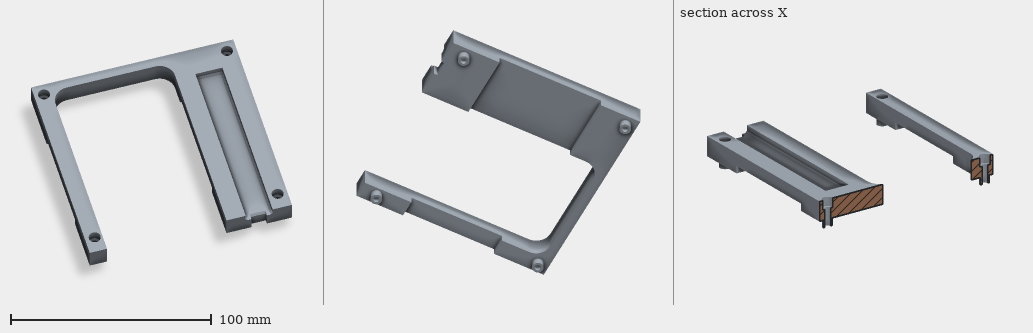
import cadquery as cq

SIDE = 105.0
PLATE_HEIGHT = 11.0
PEG_HEIGHT = 4.0

SPINE_WIDTH = 5.0
FRONT_ARM_WIDTH = 9.0
REAR_ARM_WIDTH = 34.0
OPENING_CORNER_RADIUS = 8.0

FRONT_RELIEF_START = 28.0
REAR_RELIEF_START = 22.0
RELIEF_END = 79.0
RELIEF_HEIGHT = 4.0

PEG_X_POSITIONS = (5.9, 96.55)
PEG_Y_INSET = 5.0
PEG_DIAMETER = 5.8
SOCKET_DIAMETER = 6.0
SOCKET_DEPTH = 5.0
BORE_DIAMETER = 3.2

POCKET_START = 15.0
POCKET_REAR_INSET = 10.0
POCKET_WIDTH = 14.0
POCKET_DEPTH = 4.0
POCKET_FLOOR_CHAMFER = 1.0

NOTCH_LENGTH = 3.0
NOTCH_WIDTH = 8.0
NOTCH_REAR_INSET = 13.0
NOTCH_EDGE_CHAMFER = 1.0


def block(x_start, x_end, y_start, y_end, z_start, z_end):
    """Axis-aligned box given by its limits."""
    size = (x_end - x_start, y_end - y_start, z_end - z_start)
    return cq.Workplane("XY").box(*size, centered=False).translate((x_start, y_start, z_start))


def make_frame():
    """U-shaped plate with rounded inner corners and a relief under each arm."""
    plate = block(0, SIDE, 0, SIDE, 0, PLATE_HEIGHT)
    opening = block(
        SPINE_WIDTH, SIDE, FRONT_ARM_WIDTH, SIDE - REAR_ARM_WIDTH, 0, PLATE_HEIGHT
    )
    opening = opening.edges("|Z and <X").fillet(OPENING_CORNER_RADIUS)
    front_relief = block(FRONT_RELIEF_START, RELIEF_END, 0, FRONT_ARM_WIDTH, 0, RELIEF_HEIGHT)
    rear_relief = block(
        REAR_RELIEF_START, RELIEF_END, SIDE - REAR_ARM_WIDTH, SIDE, 0, RELIEF_HEIGHT
    )
    return plate.cut(opening).cut(front_relief).cut(rear_relief)


def make_pocket():
    """Cutter for the pocket, with chamfered floor edges along its three walls."""
    rear = SIDE - POCKET_REAR_INSET
    floor = PLATE_HEIGHT - POCKET_DEPTH
    pocket = block(POCKET_START, SIDE, rear - POCKET_WIDTH, rear, floor, PLATE_HEIGHT)
    return pocket.faces("<Z").edges("not >X").chamfer(POCKET_FLOOR_CHAMFER)


def make_notch():
    """Cutter for the notch, flared at the top so that its inner edge is chamfered."""
    rear = SIDE - NOTCH_REAR_INSET
    floor = PLATE_HEIGHT - POCKET_DEPTH
    wall = SIDE - NOTCH_LENGTH + NOTCH_EDGE_CHAMFER
    profile = (
        cq.Workplane("XZ", origin=(0, rear, 0))
        .moveTo(SIDE, 0)
        .lineTo(wall, 0)
        .lineTo(wall, floor - NOTCH_EDGE_CHAMFER)
        .lineTo(wall - NOTCH_EDGE_CHAMFER, floor)
        .lineTo(SIDE, floor)
        .close()
    )
    return profile.extrude(NOTCH_WIDTH)


def add_pegs(body):
    """Add the four pegs with their sockets and through bores."""
    centers = [(x, y) for x in PEG_X_POSITIONS for y in (PEG_Y_INSET, SIDE - PEG_Y_INSET)]

    def cylinders(diameter, z_start, z_end):
        plane = cq.Workplane("XY", origin=(0, 0, z_start))
        return plane.pushPoints(centers).circle(diameter / 2).extrude(z_end - z_start)

    body = body.union(cylinders(PEG_DIAMETER, -PEG_HEIGHT, 0))
    body = body.cut(cylinders(SOCKET_DIAMETER, PLATE_HEIGHT - SOCKET_DEPTH, PLATE_HEIGHT))
    return body.cut(cylinders(BORE_DIAMETER, -PEG_HEIGHT, PLATE_HEIGHT))


frame = make_frame().cut(make_pocket()).cut(make_notch())
result = add_pegs(frame)